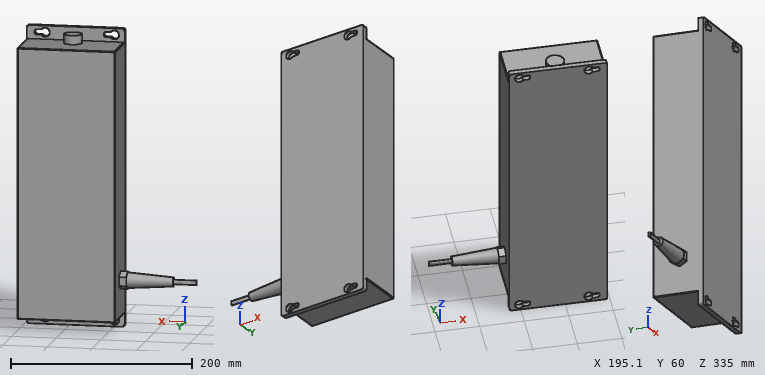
import cadquery as cq

plate_width = 110.0
plate_height = 335.0
plate_thickness = 6.0
plate_corner_radius = 3.0

total_depth = 60.0
housing_end_gap = 15.0
housing_height = plate_height - 2 * housing_end_gap
housing_top = plate_height - housing_end_gap
housing_edge_chamfer = 1.0

keyhole_diameter = 10.0
keyhole_slot_width = 6.0
keyhole_slot_reach = 9.0
keyhole_pitch = 77.7
keyhole_left_offset = 11.5
keyhole_edge_offset = 7.5

knob_diameter = 20.0
knob_height = 10.0
knob_depth_position = 20.0

gland_depth_position = 28.0
gland_height_position = 57.3
nut_across_corners = 20.0
nut_length = 8.0
sleeve_base_diameter = 17.8
sleeve_tip_diameter = 10.5
sleeve_length = 51.3

cable_height = 5.5
cable_thickness = 3.0
cable_length = 25.8


def make_plate():
    return (
        cq.Workplane("XY")
        .box(plate_width, plate_thickness, plate_height, centered=False)
        .edges("|Y")
        .fillet(plate_corner_radius)
    )


def make_housing():
    """Box with chamfered rear, top and bottom edges, reaching forward to the front face."""
    return (
        cq.Workplane("XY", origin=(0, 0, housing_end_gap))
        .box(plate_width, total_depth, housing_height, centered=False)
        .faces(">Y or >Z or <Z")
        .edges("not <Y")
        .chamfer(housing_edge_chamfer)
    )


def make_keyhole(x, z):
    """Round hole with a narrower, round-ended slot running towards +X."""
    front_plane = cq.Workplane("XZ", origin=(x, 0, z))
    hole = front_plane.circle(keyhole_diameter / 2).extrude(-plate_thickness)
    slot_length = keyhole_slot_reach + keyhole_slot_width
    slot = (
        front_plane.center(keyhole_slot_reach / 2, 0)
        .slot2D(slot_length, keyhole_slot_width)
        .extrude(-plate_thickness)
    )
    return hole.union(slot)


def make_knob():
    return (
        cq.Workplane("XY", origin=(plate_width / 2, knob_depth_position, housing_top))
        .circle(knob_diameter / 2)
        .extrude(knob_height)
    )


def left_plane(distance):
    """Plane on the gland axis, the given distance out from the left side; local Y is Z."""
    plane = cq.Plane(
        origin=(-distance, gland_depth_position, gland_height_position),
        xDir=(0, -1, 0),
        normal=(-1, 0, 0),
    )
    return cq.Workplane(plane)


def make_gland():
    nut = (
        left_plane(0)
        .transformed(rotate=(0, 0, 90))
        .polygon(6, nut_across_corners)
        .extrude(nut_length)
    )
    sleeve = (
        left_plane(nut_length)
        .circle(sleeve_base_diameter / 2)
        .workplane(offset=sleeve_length)
        .circle(sleeve_tip_diameter / 2)
        .loft()
    )
    cable = (
        left_plane(nut_length + sleeve_length)
        .slot2D(cable_height, cable_thickness, 90)
        .extrude(cable_length)
    )
    return nut.union(sleeve).union(cable)


body = make_plate().union(make_housing())
for hole_x in (keyhole_left_offset, keyhole_left_offset + keyhole_pitch):
    for hole_z in (keyhole_edge_offset, plate_height - keyhole_edge_offset):
        body = body.cut(make_keyhole(hole_x, hole_z))

result = body.union(make_knob()).union(make_gland())